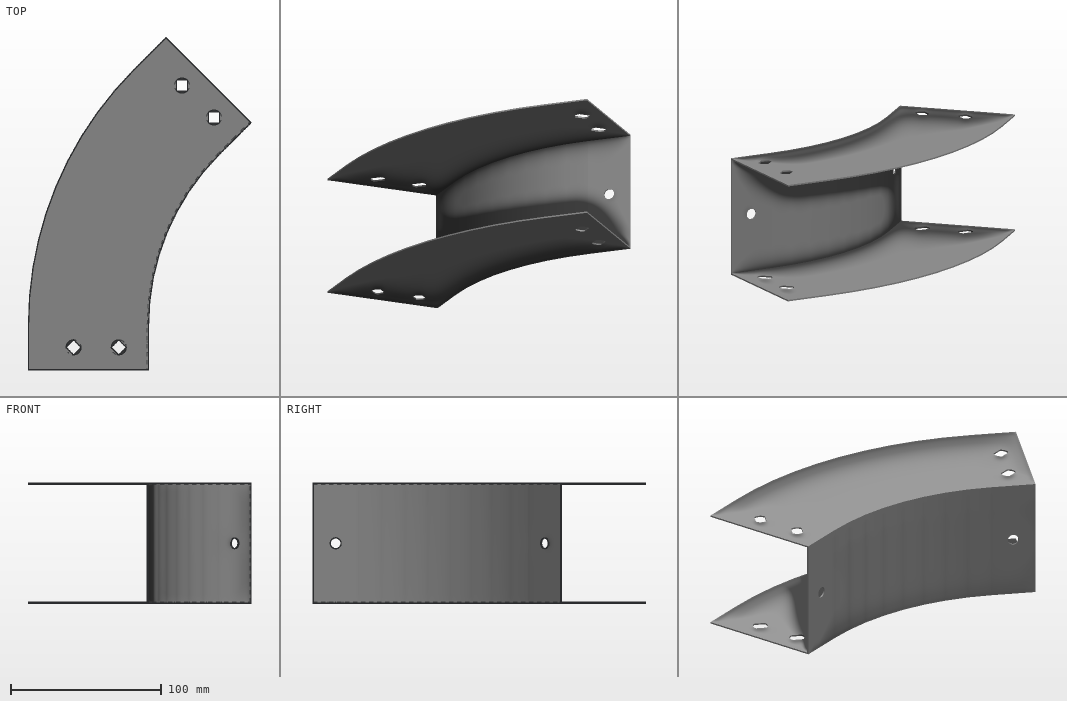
import cadquery as cq
import math

width = 80.0
height = 80.0
sheet = 1.0
bend_angle = 45
inner_radius = 2 * width
outer_radius = inner_radius + width
straight = 30.0

hole_setback = straight / 2
flange_hole_offsets = (30.0, 60.1)
flange_hole_diameter = 10.0
flange_hole_flats = 7.0
flange_hole_tilt = 45
web_hole_diameter = 7.0

bend_center = (outer_radius, straight)


def at_far_end(cutter):
    """Turn a cutter around the bend, then shift it from the near straight run to the far one."""
    turn = math.radians(bend_angle)
    turned = cutter.rotate((*bend_center, 0), (*bend_center, 1), -bend_angle)
    return turned.translate((straight * math.sin(turn), straight * math.cos(turn), 0))


def bend_strip(near_radius, far_radius, thickness):
    """Strip between two radii, with a straight run at each end of the arc."""
    center_x, center_y = bend_center

    def point(radius, angle, run=0):
        turn = math.radians(angle)
        return (
            center_x - radius * math.cos(turn) + run * math.sin(turn),
            center_y + radius * math.sin(turn) + run * math.cos(turn),
        )

    middle = bend_angle / 2
    return (
        cq.Workplane("XY")
        .moveTo(*point(far_radius, 0, -straight))
        .lineTo(*point(far_radius, 0))
        .threePointArc(point(far_radius, middle), point(far_radius, bend_angle))
        .lineTo(*point(far_radius, bend_angle, straight))
        .lineTo(*point(near_radius, bend_angle, straight))
        .lineTo(*point(near_radius, bend_angle))
        .threePointArc(point(near_radius, middle), point(near_radius, 0))
        .lineTo(*point(near_radius, 0, -straight))
        .close()
        .extrude(thickness)
    )


def flange_hole(offset, bottom, tilt):
    """Cutter for a round hole with two parallel flats."""
    round_hole = cq.Workplane("XY").circle(flange_hole_diameter / 2).extrude(sheet)
    flats = cq.Workplane("XY").rect(2 * flange_hole_diameter, flange_hole_flats).extrude(sheet)
    cutter = round_hole.intersect(flats).rotate((0, 0, 0), (0, 0, 1), tilt)
    return cutter.translate((offset, hole_setback, bottom))


def web_hole():
    """Cutter for the round hole through the web."""
    return (
        cq.Workplane("YZ", origin=(width - sheet, 0, 0))
        .center(hole_setback, height / 2)
        .circle(web_hole_diameter / 2)
        .extrude(sheet)
    )


top_flange_bottom = height - sheet
lower_flange = bend_strip(inner_radius, outer_radius, sheet)
upper_flange = lower_flange.translate((0, 0, top_flange_bottom))
web = bend_strip(inner_radius, inner_radius + sheet, height)
result = lower_flange.union(web).union(upper_flange)

cutters = [web_hole()]
for hole_offset in flange_hole_offsets:
    cutters.append(flange_hole(hole_offset, 0, flange_hole_tilt))
    cutters.append(flange_hole(hole_offset, top_flange_bottom, -flange_hole_tilt))
for cutter in cutters:
    result = result.cut(cutter).cut(at_far_end(cutter))